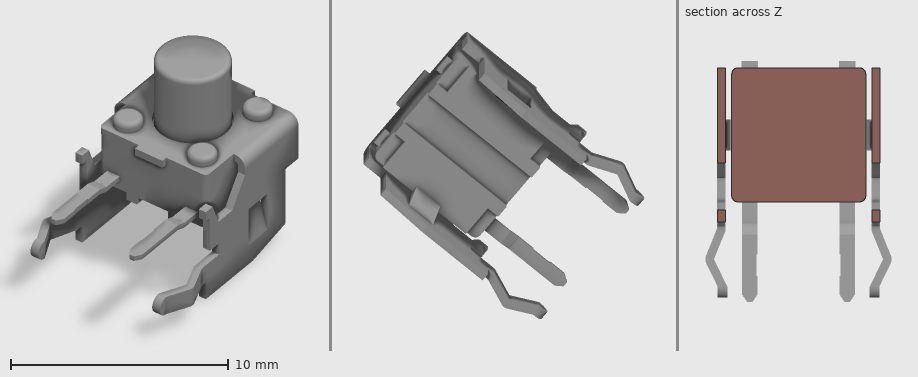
import cadquery as cq
import math


overall_width = 8.58
overall_height = 9.85
sheet = 0.4

body_half = 3.1
body_bottom = -3.09
body_corner_radius = 0.31

base_bottom = -3.51
base_channel_half = 0.9
base_notch_x = 1.51
base_notch_depth = 0.62

cover_corner_radius = 0.24
cover_hole_radius = 1.88
tab_length = 0.3
front_tab_width = 1.58
rear_tab_width = 2.04

button_radius = 1.8
button_height = 3.55
button_fillet = 0.22
peg_radius = 0.7
peg_height = 0.5
peg_fillet = 0.24
peg_offset = 2.13

wall_outer_x = 3.75
wall_inner_x = wall_outer_x - sheet
bend_radius = 0.55
bend_front_y = -1.01
wall_bottom = button_height - overall_height
wall_front_y = -4.02
rear_step_y = 2.09
rear_step_z = -2.51
slope_rear_z = -5.68
slope_front_y = -0.41
notch_rear_y = -3.01
notch_top_z = -3.66
hook_shank_y = -3.71
hook_rear_y = -3.5
hook_top_z = -1.23
hook_bottom_z = -1.74
relief_front_y = -3.05
relief_rear_y = -2.0
relief_floor_z = -2.39
relief_rim_z = -0.93

tongue_center_y = -0.01
tongue_width = 1.43
tongue_top = -3.09
tongue_bottom = -5.32
tongue_root = 0.13
tongue_angle = 15.8

leg_top = -4.32
leg_bottom = tongue_bottom
leg_knee_y = -5.74
leg_out_angle = 22.0
leg_in_angle = 26.0
leg_tip_y = -7.0

pin_center_x = 2.24
pin_width = 0.71
pin_thickness = 0.27
pin_root_top = -2.32
pin_rise = 0.17
pin_ramp_start_y = -4.1
pin_ramp_length = 0.5
pin_taper_start_y = -7.36
pin_tip_y = -7.7
pin_tip_width = 0.24
pin_notch_start_y = -5.52
pin_notch_length = 0.99
pin_notch_depth = 0.04
pin_stub_width = 0.78


def block(x_min, x_max, y_min, y_max, z_min, z_max):
    """Box given by its limits along each axis."""
    size = (x_max - x_min, y_max - y_min, z_max - z_min)
    return cq.Workplane("XY").box(*size, centered=False).translate((x_min, y_min, z_min))


def round_stud(radius, height, fillet, x, y):
    """Upright stud with a rounded rim, rooted in the housing under the cover."""
    stud = cq.Workplane("XY").workplane(offset=-sheet).circle(radius).extrude(sheet + height)
    return stud.faces(">Z").edges().fillet(fillet).translate((x, y, 0))


def make_housing():
    side = 2 * body_half
    housing = (
        cq.Workplane("XY").workplane(offset=body_bottom)
        .rect(side, side).extrude(-sheet - body_bottom)
        .edges("|Z").fillet(body_corner_radius)
    )
    inset = body_half - base_notch_depth
    base = block(-body_half, body_half, -inset, inset, base_bottom, body_bottom)
    base = base.union(block(-base_notch_x, base_notch_x, -body_half, body_half, base_bottom, body_bottom))
    channel = block(-base_channel_half, base_channel_half, -body_half, body_half, base_bottom, body_bottom)
    return housing.union(base.cut(channel))


def make_cover():
    side = 2 * body_half
    cover = (
        cq.Workplane("XY").workplane(offset=-sheet)
        .rect(side, side).extrude(sheet)
        .edges("|Z and <Y").fillet(cover_corner_radius)
    )
    tab_reach = body_half + tab_length
    front_half = front_tab_width / 2
    rear_half = rear_tab_width / 2
    cover = cover.union(block(-front_half, front_half, -tab_reach, 0, -sheet, 0))
    cover = cover.union(block(-rear_half, rear_half, 0, tab_reach, -sheet, 0))
    hole = cq.Workplane("XY").circle(cover_hole_radius).extrude(-sheet)
    return cover.cut(hole)


def make_walls():
    """Side walls: a bent channel along Y, trimmed to the side outline."""
    length = body_half - wall_front_y

    def channel_block(half_width, top, radius):
        width = 2 * half_width
        section = cq.Workplane("XY").box(width, length, top - wall_bottom,
                                              centered=(True, False, False))
        section = section.edges("|Y and >Z").fillet(radius)
        return section.translate((0, wall_front_y, wall_bottom))

    channel = channel_block(wall_outer_x, 0, bend_radius)
    channel = channel.cut(channel_block(wall_inner_x, -sheet, bend_radius - sheet))

    side_outline = [
        (body_half, 0),
        (body_half, rear_step_z),
        (rear_step_y, rear_step_z),
        (rear_step_y, slope_rear_z),
        (slope_front_y, wall_bottom),
        (wall_front_y, wall_bottom),
        (wall_front_y, leg_top),
        (notch_rear_y, leg_top),
        (notch_rear_y, notch_top_z),
        (hook_shank_y, notch_top_z),
        (hook_shank_y, hook_bottom_z),
        (wall_front_y, hook_bottom_z),
        (wall_front_y, hook_top_z),
        (hook_rear_y, hook_top_z),
        (relief_front_y, relief_floor_z),
        (relief_rear_y, relief_floor_z),
        (bend_front_y, relief_rim_z),
        (bend_front_y, 0),
    ]
    trim = cq.Workplane("YZ").polyline(side_outline).close().extrude(wall_outer_x, both=True)
    middle_half = body_half - sheet
    middle = block(-middle_half, middle_half, -body_half, body_half, -sheet, 0)
    return channel.intersect(trim).cut(middle)


def make_tongue_window():
    half = tongue_width / 2
    return block(wall_inner_x, wall_outer_x, tongue_center_y - half, tongue_center_y + half,
                 tongue_bottom, tongue_top)


def make_tongue():
    """Strip cut from the wall and bent inward about its lower edge."""
    height = tongue_top - tongue_bottom
    lean = height * math.tan(math.radians(tongue_angle))
    thickness_lift = sheet * math.sin(math.radians(tongue_angle))
    root_lean = (height - tongue_root) * math.tan(math.radians(tongue_angle))
    outline = [
        (wall_inner_x, tongue_bottom),
        (wall_outer_x, tongue_bottom),
        (wall_outer_x, tongue_bottom + tongue_root),
        (wall_outer_x - root_lean, tongue_top),
        (wall_inner_x - lean, tongue_top - thickness_lift),
    ]
    tongue = cq.Workplane("XZ").polyline(outline).close().extrude(tongue_width / 2, both=True)
    return tongue.translate((0, tongue_center_y, 0))


def make_leg():
    """Kinked snap-in leg of constant thickness with a rounded tip."""
    out_angle = math.radians(leg_out_angle)
    in_angle = math.radians(leg_in_angle)
    knee_x = overall_width / 2 - sheet
    root_inner_y = leg_knee_y + (knee_x - wall_inner_x) / math.tan(out_angle)
    root_outer_y = root_inner_y + sheet * math.tan(out_angle / 2)

    def around_knee(angle):
        return (knee_x + sheet * math.cos(angle), leg_knee_y + sheet * math.sin(angle))

    arc_end = around_knee(-in_angle)
    tip_inner_x = knee_x - (leg_knee_y - leg_tip_y) * math.tan(in_angle)
    tip_outer_x = arc_end[0] - (arc_end[1] - leg_tip_y) * math.tan(in_angle)

    height = leg_top - leg_bottom
    leg = (
        cq.Workplane("XY").workplane(offset=leg_bottom)
        .moveTo(wall_inner_x, wall_front_y)
        .lineTo(wall_inner_x, root_inner_y)
        .lineTo(knee_x, leg_knee_y)
        .lineTo(tip_inner_x, leg_tip_y)
        .lineTo(tip_outer_x, leg_tip_y)
        .lineTo(*arc_end)
        .threePointArc(around_knee(0), around_knee(out_angle))
        .lineTo(wall_outer_x, root_outer_y)
        .lineTo(wall_outer_x, wall_front_y)
        .close().extrude(height)
    )
    tip = (
        cq.Workplane("YZ").workplane(offset=tip_inner_x)
        .moveTo(leg_tip_y, leg_bottom)
        .threePointArc((leg_tip_y - height / 2, leg_bottom + height / 2), (leg_tip_y, leg_top))
        .close().extrude(tip_outer_x - tip_inner_x)
    )
    return leg.union(tip)


def make_pin():
    """Flat terminal pin: a stepped side profile trimmed to its plan outline."""
    ramp_end_y = pin_ramp_start_y - pin_ramp_length
    ramp_shift = pin_thickness * math.tan(math.atan2(pin_rise, pin_ramp_length) / 2)
    root_bottom = pin_root_top - pin_thickness
    end_top = pin_root_top + pin_rise
    root_y = -body_half + sheet
    profile = [
        (root_y, pin_root_top),
        (pin_ramp_start_y, pin_root_top),
        (ramp_end_y, end_top),
        (pin_tip_y, end_top),
        (pin_tip_y, end_top - pin_thickness),
        (ramp_end_y - ramp_shift, end_top - pin_thickness),
        (pin_ramp_start_y - ramp_shift, root_bottom),
        (root_y, root_bottom),
    ]
    strip = cq.Workplane("YZ").polyline(profile).close().extrude(wall_outer_x)

    inner_x = pin_center_x - pin_width / 2
    outer_x = pin_center_x + pin_width / 2
    notch_x = inner_x + pin_notch_depth
    notch_end_y = pin_notch_start_y - pin_notch_length
    plan = [
        (outer_x, 0),
        (outer_x, pin_taper_start_y),
        (pin_center_x + pin_tip_width / 2, pin_tip_y),
        (pin_center_x - pin_tip_width / 2, pin_tip_y),
        (inner_x, pin_taper_start_y),
        (inner_x, notch_end_y),
        (notch_x, notch_end_y),
        (notch_x, pin_notch_start_y),
        (inner_x, pin_notch_start_y),
        (inner_x, 0),
    ]
    trim = (
        cq.Workplane("XY").workplane(offset=root_bottom)
        .polyline(plan).close().extrude(end_top - root_bottom)
    )
    stub_half = pin_stub_width / 2
    rear_stub = block(pin_center_x - stub_half, pin_center_x + stub_half,
                      0, body_half + tab_length, root_bottom, pin_root_top)
    return strip.intersect(trim).union(rear_stub)


result = make_housing().union(make_cover()).union(make_walls())

result = result.union(round_stud(button_radius, button_height, button_fillet, 0, 0))
for x_side in (-1, 1):
    for y_side in (-1, 1):
        peg = round_stud(peg_radius, peg_height, peg_fillet, x_side * peg_offset, y_side * peg_offset)
        result = result.union(peg)

window = make_tongue_window()
result = result.cut(window).cut(window.mirror("YZ"))

for side_part in (make_tongue(), make_leg(), make_pin()):
    result = result.union(side_part).union(side_part.mirror("YZ"))